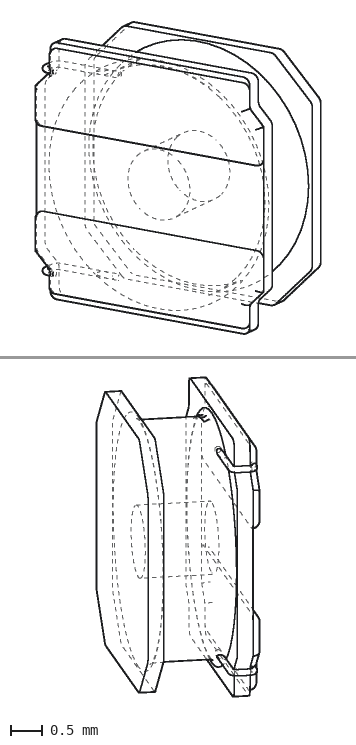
import cadquery as cq
import math

overall_depth = 1.8
half_width = 2.1
corner_radius = 0.125

flange_thickness = 0.25
front_half_height = 2.1
back_half_height = 2.065
back_chamfer = 0.715
post_diameter = 1.145

neck_half_width = 1.845
notch_start_z = 1.35
notch_end_z = notch_start_z + half_width - neck_half_width

terminal_thickness = 0.125
terminal_inner_z = 0.697
terminal_outer_z = 2.008

winding_diameter = 3.81
winding_rim_diameter = 4.065

wire_diameter = 0.1
wire_bend_radius = 0.1
wire_x = -1.93
wire_z = 1.655
wire_front_y = 0.06
wire_terminal_end_x = -1.72
wire_winding_end_x = -0.755

flange_front_y = terminal_thickness
flange_back_y = flange_front_y + flange_thickness
back_flange_y = overall_depth - flange_thickness
wire_back_y = flange_back_y + wire_diameter / 2


def extrude_outline(points, start_y, depth):
    """Extrude an (x, z) outline from start_y towards +Y."""
    return cq.Workplane("XZ", origin=(0, start_y, 0)).polyline(points).close().extrude(-depth)


def make_front_flange():
    right_side = [
        (half_width, -notch_start_z),
        (half_width, notch_start_z),
        (neck_half_width, notch_end_z),
        (neck_half_width, front_half_height),
    ]
    left_side = [(-x, z) for x, z in reversed(right_side)]
    bottom_neck = [
        (-neck_half_width, -notch_end_z),
        (-neck_half_width, -front_half_height),
        (neck_half_width, -front_half_height),
        (neck_half_width, -notch_end_z),
    ]
    outline = right_side + left_side + bottom_neck
    return extrude_outline(outline, flange_front_y, flange_thickness).edges("|Y").fillet(corner_radius)


def make_back_flange():
    plate = cq.Workplane("XY").box(
        2 * half_width, flange_thickness, 2 * back_half_height, centered=(True, False, True)
    )
    plate = plate.edges("|Y").chamfer(back_chamfer).edges("|Y").fillet(corner_radius)
    return plate.translate((0, back_flange_y, 0))


def make_core():
    post = (
        cq.Workplane("XZ", origin=(0, flange_back_y, 0))
        .circle(post_diameter / 2)
        .extrude(flange_back_y - back_flange_y)
    )
    return make_front_flange().union(post).union(make_back_flange())


def make_winding():
    """Ring around the post, flaring out in a concave round at each flange."""
    inner = post_diameter / 2
    outer = winding_diameter / 2
    rim = winding_rim_diameter / 2
    flare = rim - outer
    arc_mid_r = rim - flare * math.sqrt(0.5)
    arc_mid_inset = flare * (1 - math.sqrt(0.5))
    return (
        cq.Workplane("XY")
        .moveTo(inner, flange_back_y)
        .lineTo(rim, flange_back_y)
        .threePointArc((arc_mid_r, flange_back_y + arc_mid_inset), (outer, flange_back_y + flare))
        .lineTo(outer, back_flange_y - flare)
        .threePointArc((arc_mid_r, back_flange_y - arc_mid_inset), (rim, back_flange_y))
        .lineTo(inner, back_flange_y)
        .close()
        .revolve(360, (0, 0, 0), (0, 1, 0))
    )


def make_terminal():
    """Upper terminal pad, its front edges rounded over the full thickness."""
    outline = [
        (-half_width, terminal_inner_z),
        (half_width, terminal_inner_z),
        (half_width, notch_start_z),
        (neck_half_width, notch_end_z),
        (neck_half_width, terminal_outer_z),
        (-neck_half_width, terminal_outer_z),
        (-neck_half_width, notch_end_z),
        (-half_width, notch_start_z),
    ]
    block = extrude_outline(outline, 0, 2 * terminal_thickness)
    block = block.edges("|Y and (<Z or >Z)").fillet(corner_radius)
    block = block.faces("<Y").edges().fillet(terminal_thickness)
    return block.faces("<Y").workplane(offset=-terminal_thickness).split(keepTop=True)


def make_wire():
    """Upper U-shaped lead from the terminal, around the flange, into the winding."""
    bend_end_x = wire_x + wire_bend_radius
    bend_mid = wire_bend_radius * (1 - math.sqrt(0.5))
    path = (
        cq.Workplane("XY", origin=(0, 0, wire_z))
        .moveTo(wire_terminal_end_x, wire_front_y)
        .lineTo(bend_end_x, wire_front_y)
        .threePointArc(
            (wire_x + bend_mid, wire_front_y + bend_mid),
            (wire_x, wire_front_y + wire_bend_radius),
        )
        .lineTo(wire_x, wire_back_y - wire_bend_radius)
        .threePointArc((wire_x + bend_mid, wire_back_y - bend_mid), (bend_end_x, wire_back_y))
        .lineTo(wire_winding_end_x, wire_back_y)
    )
    profile = cq.Workplane("YZ", origin=(wire_terminal_end_x, wire_front_y, wire_z))
    return profile.circle(wire_diameter / 2).sweep(path)


core = make_core()
winding = make_winding()
terminals = []
wires = []
for lower in (False, True):
    wire = make_wire()
    terminal = make_terminal().cut(wire)
    if lower:
        wire = wire.mirror("XY")
        terminal = terminal.mirror("XY")
    winding = winding.cut(wire)
    wires.append(wire.val())
    terminals.append(terminal.val())

result = cq.Compound.makeCompound([core.val(), winding.val(), *terminals, *wires])